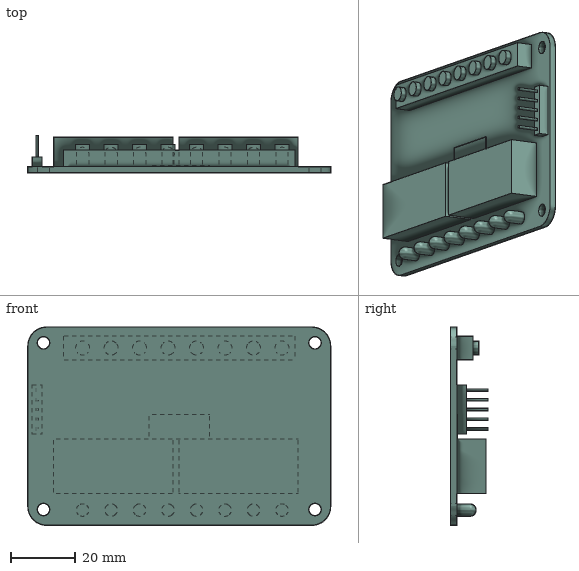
import cadquery as cq

board_length = 94.6
board_height = 62.0
board_thickness = 2.0
corner_radius = 6.0
mount_hole_diameter = 3.8
mount_hole_x = 42.4
mount_hole_z = 26.0

pin_count = 5
pin_pitch = 3.0
pin_diameter = 0.85
pin_tip_y = 11.7
header_x = -44.4
header_z = 5.2
header_width = 3.1
header_length = 15.4
header_depth = 3.0

display_width = 37.3
display_height = 17.1
display_depth = 9.2
display_gap = 1.8
display_center_x = -1.0
display_z = -12.5

column_count = 8
column_pitch = 8.9
column_center_x = 0.9
bar_length = 72.2
bar_height = 7.5
bar_depth = 5.1
button_z = 24.4
cap_diameter = 4.4
cap_depth = 6.9
lamp_diameter = 3.9
lamp_depth = 6.1
lamp_z = -26.2

chip_length = 18.9
chip_height = 7.6
chip_depth = 0.3


def row_positions(count, pitch, center):
    """Evenly spaced positions of a row about its center."""
    return [center + (i - (count - 1) / 2) * pitch for i in range(count)]


def block(x, z, width, height, depth):
    """Box standing on the component face, centered at (x, z)."""
    return (
        cq.Workplane("XY")
        .box(width, depth, height, centered=(True, False, True))
        .translate((x, board_thickness, z))
    )


def post(x, z, diameter, length):
    """Round post standing on the component face."""
    base = cq.Vector(x, board_thickness, z)
    return cq.Workplane(cq.Solid.makeCylinder(diameter / 2, length, base, cq.Vector(0, 1, 0)))


def make_board():
    holes = [(side * mount_hole_x, end * mount_hole_z) for side in (-1, 1) for end in (-1, 1)]
    plate = cq.Workplane("XZ").rect(board_length, board_height).extrude(-board_thickness)
    rounded = plate.edges("|Y").fillet(corner_radius)
    drills = cq.Workplane("XZ").pushPoints(holes).circle(mount_hole_diameter / 2).extrude(-board_thickness)
    return rounded.cut(drills)


def make_header():
    header = block(header_x, header_z, header_width, header_length, header_depth)
    for z in row_positions(pin_count, pin_pitch, header_z):
        header = header.union(post(header_x, z, pin_diameter, pin_tip_y - board_thickness))
    return header


def make_display(x):
    return block(x, display_z, display_width, display_height, display_depth)


def make_buttons():
    buttons = block(0, button_z, bar_length, bar_height, bar_depth)
    for x in row_positions(column_count, column_pitch, column_center_x):
        buttons = buttons.union(post(x, button_z, cap_diameter, cap_depth))
    return buttons


def make_lamp(x):
    """Round post with a hemispherical tip."""
    radius = lamp_diameter / 2
    stem_length = lamp_depth - radius
    dome = cq.Workplane("XY").sphere(radius).translate((x, board_thickness + stem_length, lamp_z))
    return post(x, lamp_z, lamp_diameter, stem_length).union(dome)


def make_chip():
    chip_z = display_z + (display_height + chip_height) / 2
    return block(0, chip_z, chip_length, chip_height, chip_depth)


result = make_board().union(make_header()).union(make_buttons()).union(make_chip())
for display_x in row_positions(2, display_width + display_gap, display_center_x):
    result = result.union(make_display(display_x))
for lamp_x in row_positions(column_count, column_pitch, column_center_x):
    result = result.union(make_lamp(lamp_x))